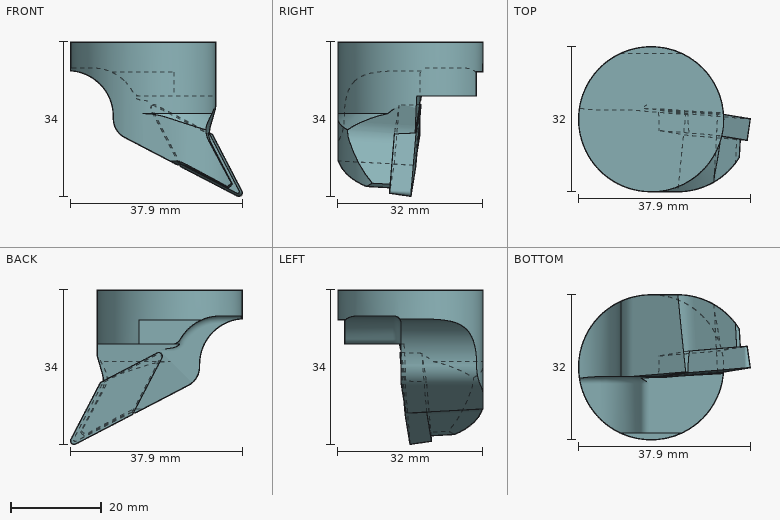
import cadquery as cq
import math


SHANK_R = 32.0 / 2
FAR = 45.45
DEPTH = 35.98

EXT_SHIFT = 5.85
EXT_TOP = -15.75

ARCH_R = 10.0
ARCH_X = -16.6
ARCH_Z = -16.32
HEEL_R = 4.75

WALL_Y = 2.1
REAR_FLOOR = -11.93
REAR_CORNER_R = 4.4 / 2
REAR_ARCH_X = -11.05
REAR_ARCH_TOP = -5.7
REAR_FILLET = 1.55
REAR_END_Y = 14.5
RIM_Z = -6.55

TIP_ANGLE = 35.0
HALF_TIP = math.radians(TIP_ANGLE / 2)
INSCRIBED_D = 9.55
INSERT_T = 4.77
INSERT_RELIEF = 5.0
NOSE_R = 0.8
RAKE = math.radians(4.5)
HALF_LENGTH = INSCRIBED_D / 2 / math.sin(HALF_TIP)
HALF_WIDTH = HALF_LENGTH * math.tan(HALF_TIP)
NOSE_X = 37.87 - SHANK_R - NOSE_R
NOSE_Z = -34.0 + NOSE_R
NOSE_Y = 0.15

SEAT_INSET = 0.85
SEAT_SHIFT = -0.23
SEAT_END = 11.25
NOTCH_R = 5.68
NOTCH_U = 3.35
NOTCH_EXIT = math.radians(209)
RAKE_STEP = 0.23

AXIS = cq.Vector(
    math.cos(RAKE) / math.sqrt(2), -math.sin(RAKE), -math.cos(RAKE) / math.sqrt(2)
)
INWARD = cq.Vector(
    -math.sin(RAKE) / math.sqrt(2), -math.cos(RAKE), math.sin(RAKE) / math.sqrt(2)
)
INSERT_CENTRE = cq.Vector(NOSE_X, NOSE_Y, NOSE_Z) - AXIS * (HALF_LENGTH - NOSE_R / math.sin(HALF_TIP))
INSERT_PLANE = cq.Plane(origin=INSERT_CENTRE, xDir=AXIS, normal=INWARD)

HEEL_ANGLE = math.radians(45 - TIP_ANGLE / 2)


def heel_z(x):
    """Height of the sloping heel at x."""
    return NOSE_Z - NOSE_R / math.cos(HEEL_ANGLE) + (NOSE_X - x) * math.tan(HEEL_ANGLE)


def make_insert():
    """Rhombic insert with drafted flanks and rounded corners."""
    outline = (
        cq.Sketch()
        .polygon([
            (HALF_LENGTH, 0), (0, HALF_WIDTH), (-HALF_LENGTH, 0), (0, -HALF_WIDTH), (HALF_LENGTH, 0)
        ])
        .vertices()
        .fillet(NOSE_R)
    )
    return cq.Workplane(INSERT_PLANE).placeSketch(outline).extrude(INSERT_T, taper=INSERT_RELIEF)


def make_stock():
    """Round shank with the cone-topped side extension."""
    shank = cq.Workplane("XY").circle(SHANK_R).extrude(-DEPTH)
    extension = (
        cq.Workplane("XY")
        .moveTo(0, -SHANK_R)
        .lineTo(EXT_SHIFT, -SHANK_R)
        .radiusArc((EXT_SHIFT + SHANK_R, 0), -SHANK_R)
        .lineTo(EXT_SHIFT + SHANK_R, WALL_Y)
        .lineTo(0, WALL_Y)
        .close()
        .extrude(-DEPTH)
    )
    cone_drop = DEPTH + EXT_TOP
    cone = (
        cq.Workplane("XZ")
        .moveTo(0, EXT_TOP)
        .lineTo(SHANK_R, EXT_TOP)
        .lineTo(SHANK_R + cone_drop, -DEPTH)
        .lineTo(0, -DEPTH)
        .close()
        .revolve(360, (0, 0, 0), (0, 1, 0))
    )
    return shank.union(extension.intersect(cone))


def underside_cutter():
    """Arch, rounded corner and sloping heel, all running along Y."""
    wall_x = ARCH_X + ARCH_R
    centre_x = wall_x + HEEL_R
    centre_z = heel_z(centre_x) + HEEL_R / math.cos(HEEL_ANGLE)
    end_x = centre_x - HEEL_R * math.sin(HEEL_ANGLE)
    return (
        cq.Workplane("XZ")
        .moveTo(-FAR, ARCH_Z + ARCH_R)
        .lineTo(ARCH_X, ARCH_Z + ARCH_R)
        .radiusArc((wall_x, ARCH_Z), ARCH_R)
        .lineTo(wall_x, centre_z)
        .radiusArc((end_x, heel_z(end_x)), -HEEL_R)
        .lineTo(FAR, heel_z(FAR))
        .lineTo(-FAR, heel_z(FAR))
        .close()
        .extrude(FAR, both=True)
    )


def rear_cutter():
    """Relief behind the cutting wall, with a rounded inner corner."""
    arch_z = REAR_ARCH_TOP - ARCH_R
    corner_z = REAR_FLOOR + REAR_CORNER_R
    sweep = math.acos((corner_z - arch_z) / (ARCH_R + REAR_CORNER_R))
    join_x = REAR_ARCH_X + ARCH_R * math.sin(sweep)
    join_z = arch_z + ARCH_R * math.cos(sweep)
    corner_x = join_x + REAR_CORNER_R * math.sin(sweep)
    return (
        cq.Workplane("XZ", origin=(0, WALL_Y, 0))
        .moveTo(-FAR, REAR_ARCH_TOP)
        .lineTo(REAR_ARCH_X, REAR_ARCH_TOP)
        .radiusArc((join_x, join_z), ARCH_R)
        .radiusArc((corner_x, REAR_FLOOR), -REAR_CORNER_R)
        .lineTo(FAR, REAR_FLOOR)
        .lineTo(FAR, -FAR)
        .lineTo(-FAR, -FAR)
        .close()
        .extrude(-FAR)
        .faces("<Y")
        .edges()
        .fillet(REAR_FILLET)
    )


def rim_cutter():
    """Clears everything below the rim at the very back."""
    return (
        cq.Workplane("XY", origin=(0, REAR_END_Y, RIM_Z))
        .rect(2 * FAR, FAR)
        .extrude(-FAR)
        .translate((0, FAR / 2, 0))
    )


def rake_cutter():
    """Clears the body above its raked face, below the rear relief only."""
    below_relief = cq.Workplane("XY", origin=(0, 0, REAR_FLOOR)).rect(2 * FAR, 2 * FAR).extrude(-FAR)
    return (
        cq.Workplane(INSERT_PLANE)
        .workplane(offset=RAKE_STEP)
        .rect(2 * FAR, 2 * FAR)
        .extrude(-FAR)
        .intersect(below_relief)
    )


def seat_cutter():
    """Frees the seat around the insert tip, alike on both sides of its axis."""
    apex = HALF_LENGTH - SEAT_INSET / math.sin(HALF_TIP)
    half_end = (apex - SEAT_END) * math.tan(HALF_TIP)
    centre_v = NOTCH_R / math.cos(HALF_TIP) + (apex - NOTCH_U) * math.tan(HALF_TIP)
    tangent = (NOTCH_U - NOTCH_R * math.sin(HALF_TIP), centre_v - NOTCH_R * math.cos(HALF_TIP))
    notch_end = (NOTCH_U + NOTCH_R * math.cos(NOTCH_EXIT), centre_v + NOTCH_R * math.sin(NOTCH_EXIT))
    runout = (notch_end[0] + FAR * math.sin(NOTCH_EXIT), notch_end[1] - FAR * math.cos(NOTCH_EXIT))
    return (
        cq.Workplane(INSERT_PLANE)
        .workplane(offset=-FAR / 2)
        .center(0, SEAT_SHIFT)
        .moveTo(SEAT_END, -half_end)
        .lineTo(SEAT_END, half_end)
        .lineTo(*tangent)
        .radiusArc(notch_end, NOTCH_R)
        .lineTo(*runout)
        .lineTo(FAR, runout[1])
        .lineTo(FAR, -runout[1])
        .lineTo(runout[0], -runout[1])
        .lineTo(notch_end[0], -notch_end[1])
        .radiusArc((tangent[0], -tangent[1]), NOTCH_R)
        .close()
        .extrude(2 * FAR)
    )


def make_holder(insert):
    """Holder body with the insert pocket sunk into it."""
    return (
        make_stock()
        .cut(underside_cutter())
        .cut(rear_cutter())
        .cut(rim_cutter())
        .cut(rake_cutter())
        .cut(seat_cutter())
        .cut(insert)
    )


insert = make_insert()
holder = make_holder(insert)

result = cq.Compound.makeCompound([holder.val(), insert.val()])